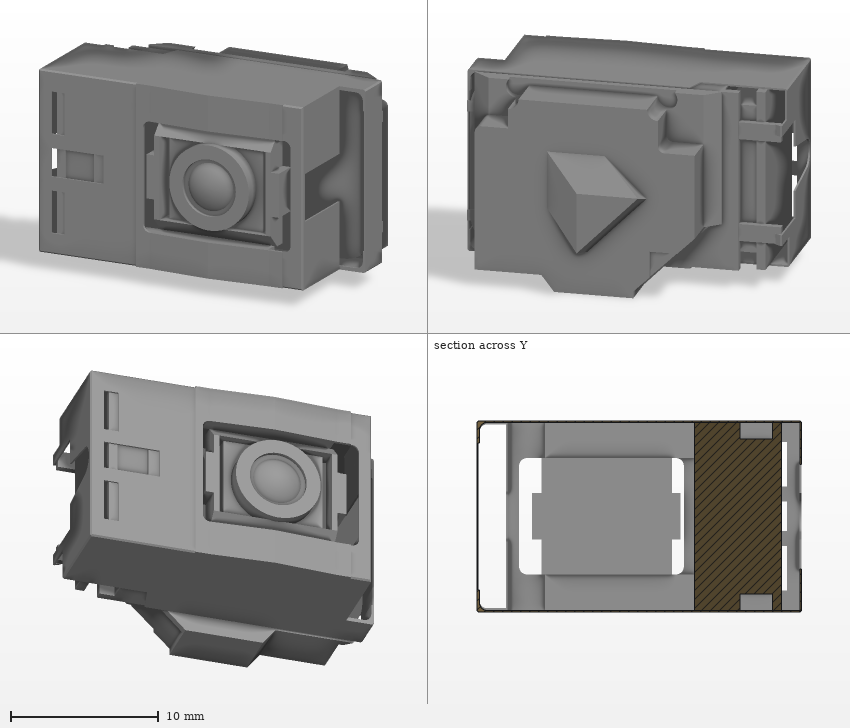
import cadquery as cq
import math


LENGTH = 22.0
HALF_HEIGHT = 6.5
REAR_Y = 8.07
WALL = 0.13
EDGE_BEVEL = 0.1
BODY_RIGHT_X = 20.02
TAIL_FRONT_Y = 5.55
CAVITY_HALF_HEIGHT = HALF_HEIGHT - WALL
TAIL_MOUTH_HALF_HEIGHT = 6.23
TAIL_INNER_X = 21.8
TAIL_CORNER_RADIUS = 0.53
TAIL_RELIEF_DEPTH = 0.09
TAIL_RELIEF_HALF_HEIGHT = 4.97
SIDE_PORT_HALF_HEIGHT = 1.7
SIDE_PORT_FRONT_Y = 0.35

PANEL_LEFT_X = 7.45
PANEL_RIGHT_X = 18.52
PANEL_STEP = 0.09
RIDGE_LEFT_X = 8.5
RIDGE_RIGHT_X = 17.53
RIDGE_HEIGHT = 0.35

WINDOW_LEFT_X = 7.96
WINDOW_RIGHT_X = 19.12
WINDOW_HALF_HEIGHT = 3.94
WINDOW_CORNER_RADIUS = 0.53

SLOT_LEFT_X = 0.97
SIDE_SLOT_RIGHT_X = 1.98
SIDE_SLOT_INNER_Z = 2.0
SIDE_SLOT_OUTER_Z = 5.02
MIDDLE_SLOT_RIGHT_X = 4.93
MIDDLE_SLOT_HALF_HEIGHT = 1.01

LEG_INNER_Z = 3.52
LEG_OUTER_Z = 4.3
LEG_END_Y = 8.2
HOOK_REACH = 0.5
UPPER_NOTCH_Y = 6.82
LOWER_NOTCH_Y = 6.14
NOTCH_FRONT_X = 6.03
NOTCH_REAR_X = 6.5
CUTOUT_STEP_Y = 4.49
TONGUE_ROOT_HALF = 1.58
TONGUE_TIP_HALF = 1.03
TONGUE_ARC_Y = 1.1
TONGUE_END_Y = 0.35

COVER_FRONT_Y = 7.5
COVER_LEFT_X = 3.08
TAB_REAR_Y = 7.99
COVER_CORNER_RADIUS = 2.53
TAB_INNER_Z = 3.04
TAB_OUTER_Z = 4.25

CORE_LEFT_X = 1.35
CORE_RIGHT_X = 7.25
CHANNEL_LEFT_X = SIDE_SLOT_RIGHT_X
CHANNEL_RIGHT_X = 4.15
CHANNEL_FLOOR_Y = 0.3
REAR_GAP_Y = 7.24
CORE_SADDLE_DEPTH = 1.1
RAIL_RIGHT_X = 17.38
RAIL_REAR_Y = 1.0

BUTTON_LEFT_X = 8.78
BUTTON_RIGHT_X = 17.6
BUTTON_CENTER_X = 13.2
BUTTON_REAR_Y = 1.75
BUTTON_POCKET_HALF_HEIGHT = 2.97
BUTTON_FLOOR_Y = 0.6
BUTTON_RIM = 0.4
BUTTON_GROOVE_WIDTH = 0.48
BUTTON_GROOVE_FLOOR_Y = 1.32
BUTTON_EAR_LEFT_X = 8.2
BUTTON_EAR_RIGHT_X = 18.24
BUTTON_EAR_HALF_HEIGHT = 1.56
RING_RADIUS = 3.01
RING_FRONT_Y = -0.53
RING_RECESS_RADIUS = 2.02

LENS_RADIUS = 1.7
LENS_TIP_Y = -0.92
LENS_EDGE_Y = -0.25

PLUG_FRONT_Y = 8.34
PLUG_REAR_Y = 11.84
FLANGE_LEFT_X = 4.15
FLANGE_RIGHT_X = 21.45
FLANGE_HALF_HEIGHT = 6.47
FLANGE_EDGE = 0.13
FLANGE_REAR_Y = 9.37
FLANGE_REAR_RIGHT_X = 20.2
LEDGE_Y = 8.82
LEDGE_LEFT_X = 7.2
LEDGE_RIGHT_X = 18.8
PLUG_LEFT_X = 5.2
PLUG_RIGHT_X = 20.55
PLUG_TOP_Z = 5.96
CROWN_LEFT_X = 8.51
CROWN_RIGHT_X = 17.5
CROWN_COVE = 0.75
SHOULDER_Z = 2.95
RIGHT_SHOULDER_Z = 3.83
SHOULDER_RADIUS = 0.45
LUG_TOP_Z = -3.0
LUG_BOTTOM_Z = -7.61
LUG_LEFT_X = 9.48
LUG_RIGHT_X = 15.0
LUG_RIGHT_TOP_X = 15.9
LUG_LEDGE_Z = -7.13
LUG_NOTCH_Y = 11.57
LUG_NOTCH_TOP_Z = -4.18
LUG_NOTCH_BOTTOM_Z = -6.1
LUG_NOTCH_X = 8.35

BOSS_REAR_Y = 13.13
BOSS_CORNER_X = 13.11
BOSS_LEG = 4.27
BOSS_DRAFT = 0.29
BOSS_FOOT_DROP = 0.42
BOSS_SLOPE = 2.4
BOSS_FOOT_TOP = 4.03


def box(x0, x1, y0, y1, z0, z1):
    """Box between two opposite corners."""
    return cq.Workplane("XY").box(x1 - x0, y1 - y0, z1 - z0, centered=False).translate((x0, y0, z0))


def plan_prism(points, z0, z1):
    """Outline in X and Y, extruded from z0 up to z1."""
    return cq.Workplane("XY").workplane(offset=z0).polyline(points).close().extrude(z1 - z0)


def face_prism(points, y0, y1):
    """Outline in X and Z, extruded from y0 back to y1."""
    return cq.Workplane("XZ").workplane(offset=-y0).polyline(points).close().extrude(y0 - y1)


def disc(radius, y0, y1):
    """Cylinder on the button axis."""
    return cq.Workplane("XZ").workplane(offset=-y0).center(BUTTON_CENTER_X, 0).circle(radius).extrude(y0 - y1)


def bowed_panel():
    ridge_x = (RIDGE_LEFT_X + RIDGE_RIGHT_X) / 2
    outline = [
        (PANEL_LEFT_X, EDGE_BEVEL),
        (PANEL_LEFT_X, -PANEL_STEP),
        (RIDGE_LEFT_X, -PANEL_STEP),
        (ridge_x, -RIDGE_HEIGHT),
        (RIDGE_RIGHT_X, -PANEL_STEP),
        (PANEL_RIGHT_X, -PANEL_STEP),
        (PANEL_RIGHT_X, EDGE_BEVEL),
    ]
    return plan_prism(outline, -HALF_HEIGHT, HALF_HEIGHT)


def housing_shell():
    main = box(0, BODY_RIGHT_X, 0, REAR_Y, -HALF_HEIGHT, HALF_HEIGHT)
    main = main.faces("<Y").chamfer(EDGE_BEVEL)
    tail = box(PANEL_RIGHT_X, LENGTH, TAIL_FRONT_Y, REAR_Y, -HALF_HEIGHT, HALF_HEIGHT)
    shell = main.union(tail).edges("|Y and (<X or >X)").chamfer(EDGE_BEVEL)
    shell = shell.union(bowed_panel())

    inner_right_x = BODY_RIGHT_X - WALL
    cavity = box(WALL, inner_right_x, WALL, REAR_Y, -CAVITY_HALF_HEIGHT, CAVITY_HALF_HEIGHT)
    tail_cavity = box(
        PANEL_RIGHT_X, TAIL_INNER_X, TAIL_FRONT_Y + WALL, REAR_Y, -CAVITY_HALF_HEIGHT, CAVITY_HALF_HEIGHT
    )
    tail_mouth = box(
        PANEL_RIGHT_X, TAIL_INNER_X, TAIL_FRONT_Y, REAR_Y, -TAIL_MOUTH_HALF_HEIGHT, TAIL_MOUTH_HALF_HEIGHT
    )
    tail_mouth = tail_mouth.edges("|Y and >X").fillet(TAIL_CORNER_RADIUS)
    tail_cavity = tail_cavity.edges("|Y and >X").fillet(TAIL_CORNER_RADIUS).union(tail_mouth)
    tail_relief = box(
        inner_right_x, TAIL_INNER_X + TAIL_RELIEF_DEPTH, TAIL_FRONT_Y, REAR_Y,
        -TAIL_RELIEF_HALF_HEIGHT, TAIL_RELIEF_HALF_HEIGHT,
    )
    side_port = box(
        inner_right_x, BODY_RIGHT_X, SIDE_PORT_FRONT_Y, TAIL_FRONT_Y,
        -SIDE_PORT_HALF_HEIGHT, SIDE_PORT_HALF_HEIGHT,
    )
    return shell.cut(cavity).cut(tail_cavity).cut(tail_relief).cut(side_port)


def window_opening():
    opening = box(
        WINDOW_LEFT_X, WINDOW_RIGHT_X, -RIDGE_HEIGHT, WALL, -WINDOW_HALF_HEIGHT, WINDOW_HALF_HEIGHT
    )
    return opening.edges("|Y").fillet(WINDOW_CORNER_RADIUS)


def vent_slots():
    slots = box(
        SLOT_LEFT_X, MIDDLE_SLOT_RIGHT_X, 0, WALL, -MIDDLE_SLOT_HALF_HEIGHT, MIDDLE_SLOT_HALF_HEIGHT
    )
    side_slot = box(SLOT_LEFT_X, SIDE_SLOT_RIGHT_X, 0, WALL, SIDE_SLOT_INNER_Z, SIDE_SLOT_OUTER_Z)
    return slots.union(side_slot).union(side_slot.mirror("XY"))


def corner_notch(front_y, z0, z1):
    """Rear left notch with a slanted right end."""
    outline = [(0, front_y), (NOTCH_FRONT_X, front_y), (NOTCH_REAR_X, REAR_Y), (0, REAR_Y)]
    return plan_prism(outline, z0, z1)


def leg_cutout():
    """Opening between the left legs, ending in a rounded tongue."""
    return (
        cq.Workplane("YZ")
        .moveTo(REAR_Y, -LEG_INNER_Z)
        .lineTo(CUTOUT_STEP_Y, -LEG_INNER_Z)
        .lineTo(CUTOUT_STEP_Y, -TONGUE_ROOT_HALF)
        .lineTo(TONGUE_ARC_Y, -TONGUE_TIP_HALF)
        .threePointArc((TONGUE_END_Y, 0), (TONGUE_ARC_Y, TONGUE_TIP_HALF))
        .lineTo(CUTOUT_STEP_Y, TONGUE_ROOT_HALF)
        .lineTo(CUTOUT_STEP_Y, LEG_INNER_Z)
        .lineTo(REAR_Y, LEG_INNER_Z)
        .close()
        .extrude(WALL)
    )


def hook(wall_x, inward, thickness, seat_y, side):
    """Wedge-shaped catch at a leg end, reaching inward over the rear cover."""
    outline = [
        (wall_x, seat_y),
        (wall_x, LEG_END_Y),
        (wall_x + inward * thickness, LEG_END_Y),
        (wall_x + inward * HOOK_REACH, seat_y),
    ]
    catch = plan_prism(outline, LEG_INNER_Z, LEG_OUTER_Z)
    return catch if side > 0 else catch.mirror("XY")


def make_housing():
    body = housing_shell()
    body = body.cut(window_opening()).cut(vent_slots()).cut(leg_cutout())
    body = body.cut(corner_notch(UPPER_NOTCH_Y, LEG_OUTER_Z, HALF_HEIGHT))
    body = body.cut(corner_notch(LOWER_NOTCH_Y, -HALF_HEIGHT, -LEG_OUTER_Z))
    tail_wall = LENGTH - TAIL_INNER_X - TAIL_RELIEF_DEPTH
    for side in (1, -1):
        body = body.union(hook(0, 1, WALL, TAB_REAR_Y, side))
        body = body.union(hook(LENGTH, -1, tail_wall, REAR_Y, side))
    return body


def make_rear_cover():
    plate = box(
        COVER_LEFT_X, TAIL_INNER_X, COVER_FRONT_Y, REAR_Y, -CAVITY_HALF_HEIGHT, CAVITY_HALF_HEIGHT
    )
    plate = plate.edges("|Y and >X").fillet(COVER_CORNER_RADIUS)
    tab = box(WALL, COVER_LEFT_X, COVER_FRONT_Y, TAB_REAR_Y, TAB_INNER_Z, TAB_OUTER_Z)
    return plate.union(tab).union(tab.mirror("XY"))


def make_core():
    z0, z1 = -CAVITY_HALF_HEIGHT, CAVITY_HALF_HEIGHT
    block = box(CORE_LEFT_X, CORE_RIGHT_X, WALL, COVER_FRONT_Y, z0, z1)
    front_channel = box(CHANNEL_LEFT_X, CHANNEL_RIGHT_X, WALL, CHANNEL_FLOOR_Y, z0, z1)
    rear_channel = box(CHANNEL_LEFT_X, CHANNEL_RIGHT_X, REAR_GAP_Y, COVER_FRONT_Y, z0, z1)
    saddle = box(
        CHANNEL_LEFT_X, CHANNEL_RIGHT_X, WALL, COVER_FRONT_Y,
        CAVITY_HALF_HEIGHT - CORE_SADDLE_DEPTH, CAVITY_HALF_HEIGHT,
    )
    rail = box(CORE_RIGHT_X, RAIL_RIGHT_X, WALL, RAIL_REAR_Y, WINDOW_HALF_HEIGHT, CAVITY_HALF_HEIGHT)
    for feature in (front_channel, rear_channel, saddle, saddle.mirror("XY")):
        block = block.cut(feature)
    return block.union(rail).union(rail.mirror("XY"))


def button_tray():
    """Block with 45 degree top and bottom bevels around a grooved pocket."""
    bevel = WINDOW_HALF_HEIGHT - BUTTON_POCKET_HALF_HEIGHT
    section = [
        (0, -BUTTON_POCKET_HALF_HEIGHT),
        (bevel, -WINDOW_HALF_HEIGHT),
        (BUTTON_REAR_Y, -WINDOW_HALF_HEIGHT),
        (BUTTON_REAR_Y, WINDOW_HALF_HEIGHT),
        (bevel, WINDOW_HALF_HEIGHT),
        (0, BUTTON_POCKET_HALF_HEIGHT),
    ]
    tray = (
        cq.Workplane("YZ").workplane(offset=BUTTON_LEFT_X)
        .polyline(section).close().extrude(BUTTON_RIGHT_X - BUTTON_LEFT_X)
    )
    z0, z1 = -BUTTON_POCKET_HALF_HEIGHT, BUTTON_POCKET_HALF_HEIGHT
    pocket_left_x = BUTTON_LEFT_X + BUTTON_RIM
    pocket_right_x = BUTTON_RIGHT_X - BUTTON_RIM
    tray = tray.cut(box(pocket_left_x, pocket_right_x, 0, BUTTON_FLOOR_Y, z0, z1))
    for x in (pocket_left_x, pocket_right_x - BUTTON_GROOVE_WIDTH):
        tray = tray.cut(box(x, x + BUTTON_GROOVE_WIDTH, 0, BUTTON_GROOVE_FLOOR_Y, z0, z1))
    for x0, x1 in ((BUTTON_EAR_LEFT_X, BUTTON_LEFT_X), (BUTTON_RIGHT_X, BUTTON_EAR_RIGHT_X)):
        ear = box(x0, x1, 0, BUTTON_REAR_Y, -BUTTON_EAR_HALF_HEIGHT, BUTTON_EAR_HALF_HEIGHT)
        tray = tray.union(ear)
    return tray


def make_button():
    button = button_tray().union(disc(RING_RADIUS, RING_FRONT_Y, BUTTON_FLOOR_Y))
    recess = disc(RING_RECESS_RADIUS, RING_FRONT_Y, LENS_EDGE_Y)
    lens_seat = disc(LENS_RADIUS, LENS_EDGE_Y, BUTTON_FLOOR_Y)
    return button.cut(recess).cut(lens_seat)


def make_lens():
    """Plug with a spherical front, revolved about the button axis."""
    rise = LENS_EDGE_Y - LENS_TIP_Y
    sphere_radius = (LENS_RADIUS ** 2 + rise ** 2) / (2 * rise)
    mid_x = LENS_RADIUS / 2
    mid_y = LENS_TIP_Y + sphere_radius - math.sqrt(sphere_radius ** 2 - mid_x ** 2)
    profile = (
        cq.Workplane("XY")
        .moveTo(0, BUTTON_FLOOR_Y)
        .lineTo(LENS_RADIUS, BUTTON_FLOOR_Y)
        .lineTo(LENS_RADIUS, LENS_EDGE_Y)
        .threePointArc((mid_x, mid_y), (0, LENS_TIP_Y))
        .close()
    )
    return profile.revolve(360, (0, 0, 0), (0, 1, 0)).translate((BUTTON_CENTER_X, 0, 0))


def plug_flange():
    """Bevelled plate, thinner above the crown, along its two coves and down the lug."""
    outline = [
        (FLANGE_LEFT_X, PLUG_FRONT_Y),
        (FLANGE_RIGHT_X, PLUG_FRONT_Y),
        (FLANGE_REAR_RIGHT_X, FLANGE_REAR_Y),
        (PLUG_LEFT_X, FLANGE_REAR_Y),
        (FLANGE_LEFT_X, PLUG_FRONT_Y + FLANGE_EDGE),
    ]
    flange = plan_prism(outline, -FLANGE_HALF_HEIGHT, FLANGE_HALF_HEIGHT)
    flange = flange.cut(
        box(LEDGE_LEFT_X, LEDGE_RIGHT_X, LEDGE_Y, FLANGE_REAR_Y, PLUG_TOP_Z, FLANGE_HALF_HEIGHT)
    )
    for cove_x in (CROWN_LEFT_X - CROWN_COVE, CROWN_RIGHT_X + CROWN_COVE):
        groove = cq.Workplane("XZ").workplane(offset=-LEDGE_Y).center(cove_x, PLUG_TOP_Z)
        flange = flange.cut(groove.circle(CROWN_COVE).extrude(LEDGE_Y - FLANGE_REAR_Y))

    drop = LUG_TOP_Z - LUG_BOTTOM_Z
    diagonal_top_x = LUG_LEFT_X - drop
    below_diagonal = [
        (FLANGE_LEFT_X, LUG_TOP_Z),
        (diagonal_top_x, LUG_TOP_Z),
        (LUG_LEFT_X, LUG_BOTTOM_Z),
        (FLANGE_LEFT_X, LUG_BOTTOM_Z),
    ]
    below_ledge = box(
        FLANGE_LEFT_X, FLANGE_RIGHT_X, LEDGE_Y, FLANGE_REAR_Y, -FLANGE_HALF_HEIGHT, LUG_TOP_Z
    )
    flange = flange.cut(face_prism(below_diagonal, PLUG_FRONT_Y, FLANGE_REAR_Y)).cut(below_ledge)
    lug = [
        (diagonal_top_x, LUG_TOP_Z),
        (LUG_LEFT_X, LUG_BOTTOM_Z),
        (LUG_RIGHT_X, LUG_BOTTOM_Z),
        (LUG_RIGHT_TOP_X, -FLANGE_HALF_HEIGHT),
        (LUG_RIGHT_TOP_X, LUG_TOP_Z),
    ]
    return flange.union(face_prism(lug, PLUG_FRONT_Y, LEDGE_Y))


def plug_block():
    """Main block: a coved crown on lower shoulders, narrowing to the lug."""
    cove_offset = CROWN_COVE * math.sqrt(0.5)
    left_center_x = CROWN_LEFT_X - CROWN_COVE
    right_center_x = CROWN_RIGHT_X + CROWN_COVE
    shoulder_offset = SHOULDER_RADIUS * (1 - math.sqrt(0.5))
    block = (
        cq.Workplane("XZ").workplane(offset=-LEDGE_Y)
        .moveTo(LUG_LEFT_X, LUG_BOTTOM_Z)
        .lineTo(LUG_LEFT_X, LUG_LEDGE_Z)
        .lineTo(PLUG_LEFT_X, LUG_TOP_Z)
        .lineTo(PLUG_LEFT_X, SHOULDER_Z)
        .lineTo(left_center_x - SHOULDER_RADIUS, SHOULDER_Z)
        .threePointArc(
            (left_center_x - shoulder_offset, SHOULDER_Z + shoulder_offset),
            (left_center_x, SHOULDER_Z + SHOULDER_RADIUS),
        )
        .lineTo(left_center_x, PLUG_TOP_Z - CROWN_COVE)
        .threePointArc(
            (left_center_x + cove_offset, PLUG_TOP_Z - cove_offset), (CROWN_LEFT_X, PLUG_TOP_Z)
        )
        .lineTo(CROWN_RIGHT_X, PLUG_TOP_Z)
        .threePointArc(
            (right_center_x - cove_offset, PLUG_TOP_Z - cove_offset),
            (right_center_x, PLUG_TOP_Z - CROWN_COVE),
        )
        .lineTo(right_center_x, RIGHT_SHOULDER_Z)
        .lineTo(PLUG_RIGHT_X - SHOULDER_RADIUS, RIGHT_SHOULDER_Z)
        .threePointArc(
            (PLUG_RIGHT_X - shoulder_offset, RIGHT_SHOULDER_Z - shoulder_offset),
            (PLUG_RIGHT_X, RIGHT_SHOULDER_Z - SHOULDER_RADIUS),
        )
        .lineTo(PLUG_RIGHT_X, -FLANGE_HALF_HEIGHT)
        .lineTo(LUG_RIGHT_TOP_X, -FLANGE_HALF_HEIGHT)
        .lineTo(LUG_RIGHT_X, LUG_BOTTOM_Z)
        .close()
        .extrude(LEDGE_Y - PLUG_REAR_Y)
    )
    notch = box(
        PLUG_LEFT_X, LUG_NOTCH_X, LUG_NOTCH_Y, PLUG_REAR_Y, LUG_NOTCH_BOTTOM_Z, LUG_NOTCH_TOP_Z
    )
    return block.cut(notch)


def plug_boss():
    """Triangular crest on a five-sided foot, mirrored about the diagonal through its corner."""

    def corner(right, up, y):
        return cq.Vector(BOSS_CORNER_X + right, y, up)

    def mirrored_corner(right, up, y):
        return corner(up, right, y)

    peak = corner(0, 0, BOSS_REAR_Y)
    left_tip = corner(-BOSS_LEG, 0, BOSS_REAR_Y)
    low_tip = mirrored_corner(-BOSS_LEG, 0, BOSS_REAR_Y)
    left_foot = (-BOSS_LEG - BOSS_DRAFT, -BOSS_FOOT_DROP, PLUG_REAR_Y)
    top_foot = (BOSS_SLOPE - BOSS_FOOT_TOP, BOSS_SLOPE, PLUG_REAR_Y)
    far_foot = corner(BOSS_SLOPE, BOSS_SLOPE, PLUG_REAR_Y)
    foot = [
        corner(*left_foot),
        corner(*top_foot),
        far_foot,
        mirrored_corner(*top_foot),
        mirrored_corner(*left_foot),
    ]
    loops = [
        foot,
        [peak, left_tip, low_tip],
        [foot[0], left_tip, low_tip, foot[4]],
        [foot[0], foot[1], left_tip],
        [foot[1], far_foot, peak, left_tip],
        [far_foot, foot[3], low_tip, peak],
        [foot[3], foot[4], low_tip],
    ]
    faces = [cq.Face.makeFromWires(cq.Wire.makePolygon(loop, close=True)) for loop in loops]
    return cq.Workplane(cq.Solid.makeSolid(cq.Shell.makeShell(faces)))


def make_plug():
    return plug_flange().union(plug_block()).union(plug_boss())


housing = make_housing()
rear_cover = make_rear_cover()
core = make_core()
button = make_button()
lens = make_lens()
plug = make_plug()

result = cq.Compound.makeCompound(
    [housing.val(), rear_cover.val(), core.val(), button.val(), lens.val(), plug.val()]
)